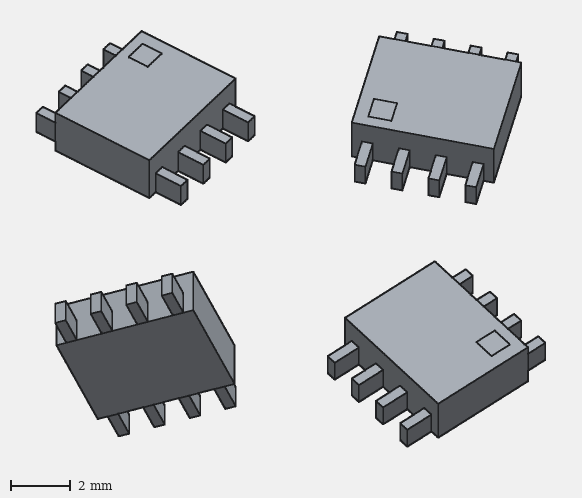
import cadquery as cq

HOUSING_WIDTH = 3.9
HOUSING_LENGTH = 4.9
HEIGHT = 1.76

OVERALL_WIDTH = 6.0
LEADS_PER_SIDE = 4
LEAD_PITCH = 1.27
LEAD_THICKNESS = 0.38
LEAD_HEIGHT = HEIGHT / 2
LEAD_LENGTH = (OVERALL_WIDTH - HOUSING_WIDTH) / 2

MARKER_SIZE = 0.8
MARKER_DEPTH = 0.06
MARKER_SIDE_MARGIN = 0.39
MARKER_END_MARGIN = 0.48

STANDING = (True, True, False)


def make_marker():
    center_x = -HOUSING_WIDTH / 2 + MARKER_SIDE_MARGIN + MARKER_SIZE / 2
    center_y = HOUSING_LENGTH / 2 - MARKER_END_MARGIN - MARKER_SIZE / 2
    return (
        cq.Workplane("XY")
        .box(MARKER_SIZE, MARKER_SIZE, MARKER_DEPTH, centered=STANDING)
        .translate((center_x, center_y, HEIGHT - MARKER_DEPTH))
    )


def make_housing(marker):
    """Block with a recess that fits the marker."""
    block = cq.Workplane("XY").box(HOUSING_WIDTH, HOUSING_LENGTH, HEIGHT, centered=STANDING)
    return block.cut(marker)


def make_lead(side, row):
    """Lead on the -X (side = -1) or +X (side = 1) face, rows counted along +Y."""
    center_x = side * (HOUSING_WIDTH + LEAD_LENGTH) / 2
    center_y = (row - (LEADS_PER_SIDE - 1) / 2) * LEAD_PITCH
    return (
        cq.Workplane("XY")
        .box(LEAD_LENGTH, LEAD_THICKNESS, LEAD_HEIGHT, centered=STANDING)
        .translate((center_x, center_y, 0))
    )


marker = make_marker()
housing = make_housing(marker)
leads = [make_lead(side, row) for side in (-1, 1) for row in range(LEADS_PER_SIDE)]

result = cq.Compound.makeCompound([housing.val(), marker.val(), *[lead.val() for lead in leads]])